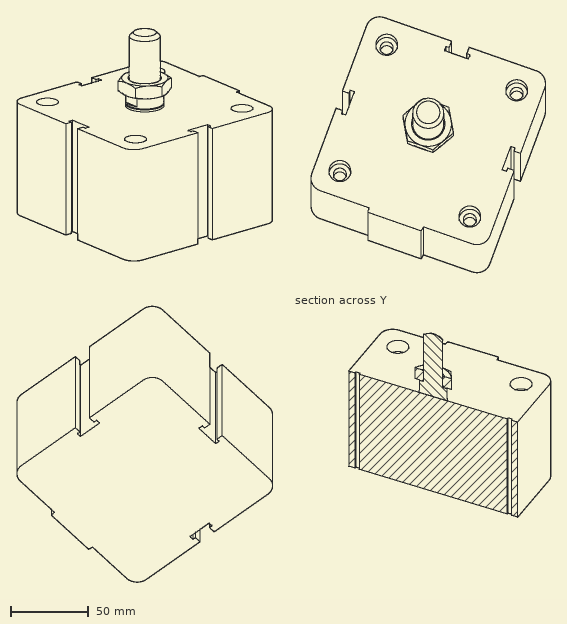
import cadquery as cq
import math


BODY_WIDTH = 122.0
BODY_HEIGHT = 76.5
CAP_HEIGHT = 19.5
TUBE_HEIGHT = BODY_HEIGHT - 2 * CAP_HEIGHT
CORNER_RADIUS = 9.0

RAIL_ROOT_WIDTH = 37.5
RAIL_TOP_WIDTH = 36.4
RAIL_HEIGHT = 3.0

SLOT_MOUTH_WIDTH = 12.0
SLOT_INNER_WIDTH = 16.5
SLOT_DEPTH = 7.5
SLOT_LIP = 4.5

HOLE_PITCH = 88.9
HOLE_DIAMETER = 8.3
COUNTERBORE_DIAMETER = 14.0
COUNTERBORE_DEPTH = 9.0

TOTAL_HEIGHT = 126.5
ROD_DIAMETER = 25.0
COLLAR_HEIGHT = 1.9
COLLAR_TOP = BODY_HEIGHT + COLLAR_HEIGHT
NECK_DIAMETER = 24.5
COLLAR_TAPER_HEIGHT = 0.5
NECK_CHAMFER = 0.5
FLATS_BOTTOM = 79.6
ACROSS_FLATS = 22.0
THREAD_DIAMETER = 20.0
TIP_CHAMFER = 2.5

NUT_BOTTOM = 86.3
NUT_THICKNESS = 9.0
NUT_ACROSS_FLATS = 30.0
NUT_FACE_DIAMETER = 29.9
NUT_CHAMFER_ANGLE = 27
NUT_BORE_CHAMFER = 0.8


def section(height):
    """Square block with rounded corners and the rail on its +Y side."""
    block = cq.Workplane("XY").rect(BODY_WIDTH, BODY_WIDTH).extrude(height)
    block = block.edges("|Z").fillet(CORNER_RADIUS)
    root, top = RAIL_ROOT_WIDTH / 2, RAIL_TOP_WIDTH / 2
    side = BODY_WIDTH / 2
    rail = (
        cq.Workplane("XY")
        .polyline([
            (-root, side - RAIL_HEIGHT),
            (-root, side),
            (-top, side + RAIL_HEIGHT),
            (top, side + RAIL_HEIGHT),
            (root, side),
            (root, side - RAIL_HEIGHT),
        ])
        .close()
        .extrude(height)
    )
    block = block.union(rail)
    for angle in (-90, 0, 90):
        block = block.cut(t_slot(height).rotate((0, 0, 0), (0, 0, 1), angle))
    return block


def t_slot(height):
    """Cutter for the T-slot in the -Y side."""
    side = -BODY_WIDTH / 2
    mouth = cq.Workplane("XY").center(0, side + SLOT_DEPTH / 2)
    mouth = mouth.rect(SLOT_MOUTH_WIDTH, SLOT_DEPTH).extrude(height)
    inner_depth = SLOT_DEPTH - SLOT_LIP
    inner = cq.Workplane("XY").center(0, side + SLOT_LIP + inner_depth / 2)
    return mouth.union(inner.rect(SLOT_INNER_WIDTH, inner_depth).extrude(height))


def make_housing():
    """Bottom cap, tube and top cap as one solid that keeps their seam lines."""
    housing = section(CAP_HEIGHT)
    tube = section(TUBE_HEIGHT).translate((0, 0, CAP_HEIGHT))
    top_cap = section(CAP_HEIGHT).translate((0, 0, CAP_HEIGHT + TUBE_HEIGHT))
    top_cap = (
        top_cap.faces(">Z").workplane(origin=(0, 0, BODY_HEIGHT))
        .rect(HOLE_PITCH, HOLE_PITCH, forConstruction=True).vertices()
        .cboreHole(HOLE_DIAMETER, COUNTERBORE_DIAMETER, COUNTERBORE_DEPTH, CAP_HEIGHT)
    )
    return housing.union(tube, clean=False).union(top_cap, clean=False)


def make_rod():
    """Stepped rod that stands on the housing, with wrench flats facing -Y and +Y."""
    collar = (
        cq.Workplane("XY").workplane(offset=BODY_HEIGHT)
        .circle(ROD_DIAMETER / 2).extrude(COLLAR_HEIGHT)
        .faces(">Z").chamfer(COLLAR_TAPER_HEIGHT, (ROD_DIAMETER - NECK_DIAMETER) / 2)
    )
    neck = (
        cq.Workplane("XY").workplane(offset=COLLAR_TOP)
        .circle(NECK_DIAMETER / 2).extrude(NUT_BOTTOM - COLLAR_TOP)
        .faces(">Z").chamfer(NECK_CHAMFER)
    )
    wrench_band = (
        cq.Workplane("XY").workplane(offset=FLATS_BOTTOM)
        .rect(2 * NECK_DIAMETER, 2 * NECK_DIAMETER)
        .rect(2 * NECK_DIAMETER, ACROSS_FLATS)
        .extrude(NUT_BOTTOM - FLATS_BOTTOM)
    )
    thread = (
        cq.Workplane("XY").workplane(offset=NUT_BOTTOM)
        .circle(THREAD_DIAMETER / 2).extrude(TOTAL_HEIGHT - NUT_BOTTOM)
        .faces(">Z").chamfer(TIP_CHAMFER)
    )
    return collar.union(neck.cut(wrench_band)).union(thread)


def make_nut():
    """Hexagonal nut with corners on the X axis, chamfered on both faces."""
    corner_radius = NUT_ACROSS_FLATS / math.sqrt(3)
    face_radius = NUT_FACE_DIAMETER / 2
    corner_drop = (corner_radius - face_radius) * math.tan(math.radians(NUT_CHAMFER_ANGLE))
    hexagon = cq.Workplane("XY").polygon(6, 2 * corner_radius).extrude(NUT_THICKNESS)
    envelope = (
        cq.Workplane("XZ")
        .polyline([
            (0, 0),
            (face_radius, 0),
            (corner_radius, corner_drop),
            (corner_radius, NUT_THICKNESS - corner_drop),
            (face_radius, NUT_THICKNESS),
            (0, NUT_THICKNESS),
        ])
        .close()
        .revolve(360, (0, 0, 0), (0, 1, 0))
    )
    bore = cq.Workplane("XY").circle(THREAD_DIAMETER / 2).extrude(NUT_THICKNESS)
    nut = hexagon.intersect(envelope).cut(bore)
    bore_rims = nut.edges(cq.selectors.RadiusNthSelector(0))
    return bore_rims.chamfer(NUT_BORE_CHAMFER).translate((0, 0, NUT_BOTTOM))


housing = make_housing()
rod = make_rod()
nut = make_nut()

result = cq.Compound.makeCompound([housing.solids().val(), rod.solids().val(), nut.solids().val()])